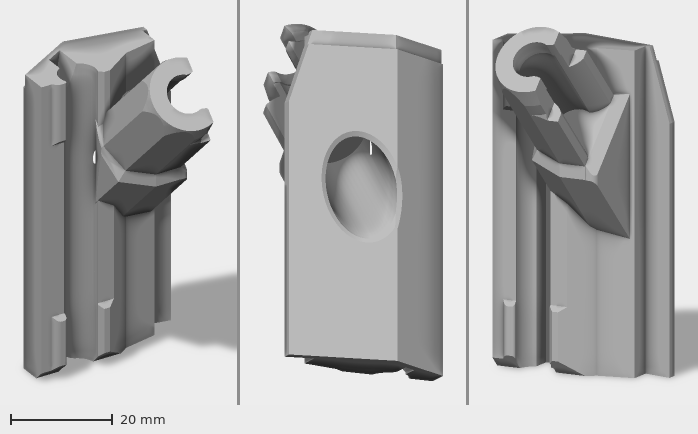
import cadquery as cq
import math

OVERALL_LENGTH, OVERALL_HEIGHT = 41.2, 74.05

BODY_HEIGHT = 66.05
PLATE_THICKNESS = 2.1
RIDGE_Y = -6.9
WING_TOP_Y, WING_TOP_X = 14.7, 4.1
WING_BOTTOM_Y, WING_BOTTOM_X = -20.3, 7.7
HEAD_STEP_HEIGHT = 3.0
HEAD_STEP_DEPTH = 0.7
WING_CORNER_WIDTH = 4.95
WING_CORNER_HEIGHT = 14.8
BOTTOM_CHAMFER = 3.0

RIB_TOP_Y = 8.8
RIB_TOP_X = 9.6
RIB_KNEE = (11.2, 1.25)
BACK_X = 14.5
LIP_X = 15.55
LIP_DEPTH = LIP_X - BACK_X
LIP_GAP_BOTTOM, LIP_GAP_TOP = 14.0, 52.3
UPPER_LIP_TOP_Y, UPPER_LIP_BOTTOM_Y = -5.1, -6.45
LOWER_LIP_TOP_Y, LOWER_LIP_BOTTOM_Y = -15.55, -16.3
LOWER_LIP_RADIUS = 1.5

CHANNEL_X, CHANNEL_Y, CHANNEL_RADIUS = 13.25, -11.2, 4.1
CHANNEL_MOUTH_HALF_WIDTH = 1.5
SLOT_HALF_WIDTH = 1.9
SLOT_TOP_Y = -10.65
SLOT_CORNER_RADIUS = 2.2
SLOT_LEAD_IN_HEIGHT = 5.9

BARREL_RADIUS = 8.45
BARREL_SIDE_Y = 5.7
END_RADIUS = 7.7
BARREL_END_X = OVERALL_LENGTH - END_RADIUS * math.sqrt(0.5)
BARREL_END_Z = OVERALL_HEIGHT - END_RADIUS * math.sqrt(0.5)
END_TAPER_LENGTH = 3.85
END_FLAT_Y = 3.3
END_CUT_LENGTH = 8.45
TURNED_RUNOUT_LENGTH = 1.3
TURNED_RUNOUT_STEP = 0.7
ENVELOPE_RADIUS = 22.2
ENVELOPE_LENGTH = 44.4
BOSS_RADIUS = 10.4
BOSS_SIDE_Y = 7.85
BOSS_DISTANCE = 24.4
BOSS_TAPER_LENGTH = BOSS_RADIUS - BARREL_RADIUS
BOSS_LENGTH = 33.3
BOSS_MIN_X, BOSS_MAX_X = 7.4, 29.6
BOSS_LOWER_Y = -8.8
BOSS_BULGE_MIDDLE = (16.7, -8.3)
BOSS_BULGE_END_X = 18.95
BOSS_BLOCK_X = 24.3
BOSS_BLOCK_RADIUS = 1.25

MOUTH_RADIUS, MOUTH_NECK_Y = 4.1, 1.7
MOUTH_LENGTH = 3.8
CRADLE_RADIUS, CRADLE_NECK_Y = 4.4, 2.1
CRADLE_FLOOR = 24.4
OPENING_WAIST_Y = 3.55
OPENING_HALF_WIDTH = 6.5
BORE_RADIUS = 7.2
FRONT_BORE_FLOOR = 27.7
FRONT_BORE_LENGTH = 33.3
FLARE_DEPTH = 0.6
FLARE_WIDTH = 0.95

BIG = 44.4


def barrel_plane(distance):
    """Plane across the barrel; local x is +Y and local y points up and forward."""
    back = distance * math.sqrt(0.5)
    origin = (BARREL_END_X - back, 0, BARREL_END_Z - back)
    return cq.Plane(origin=origin, xDir=(0, 1, 0), normal=(1, 0, 1))


def across_barrel(distance):
    return cq.Workplane(barrel_plane(distance))


def wing_inner_x(y):
    """X of the plate's inner face below the ridge."""
    slope = WING_BOTTOM_X / (RIDGE_Y - WING_BOTTOM_Y)
    return PLATE_THICKNESS + (RIDGE_Y - y) * slope


def wing_upper_x(y):
    """X of the plate's outer face above the ridge."""
    return WING_TOP_X * (y - RIDGE_Y) / (WING_TOP_Y - RIDGE_Y)


def body_prism():
    slot_low_y = CHANNEL_Y - SLOT_HALF_WIDTH
    slot_end_x = CHANNEL_X - math.sqrt(CHANNEL_RADIUS**2 - SLOT_HALF_WIDTH**2)
    mouth_x = CHANNEL_X + CHANNEL_MOUTH_HALF_WIDTH
    mouth_dy = math.sqrt(CHANNEL_RADIUS**2 - CHANNEL_MOUTH_HALF_WIDTH**2)
    slope_x = LIP_X - LOWER_LIP_RADIUS * (1 - math.sqrt(0.5))
    slope_y = LOWER_LIP_BOTTOM_Y - LOWER_LIP_RADIUS * math.sqrt(0.5)
    corner_y = SLOT_TOP_Y + SLOT_CORNER_RADIUS
    reach = CHANNEL_RADIUS + SLOT_CORNER_RADIUS
    corner_dx = math.sqrt(reach**2 - (corner_y - CHANNEL_Y)**2)
    corner_x = CHANNEL_X - corner_dx
    touch_x = CHANNEL_X - corner_dx * CHANNEL_RADIUS / reach
    touch_y = CHANNEL_Y + (corner_y - CHANNEL_Y) * CHANNEL_RADIUS / reach
    touch_angle = math.atan2(touch_y - corner_y, touch_x - corner_x)
    middle_angle = (touch_angle - math.pi / 2) / 2
    corner_middle = (
        corner_x + SLOT_CORNER_RADIUS * math.cos(middle_angle),
        corner_y + SLOT_CORNER_RADIUS * math.sin(middle_angle),
    )
    return (
        cq.Workplane("XY")
        .moveTo(0, RIDGE_Y)
        .lineTo(WING_BOTTOM_X, WING_BOTTOM_Y)
        .lineTo(BACK_X, WING_BOTTOM_Y)
        .lineTo(BACK_X, slope_y - (slope_x - BACK_X))
        .lineTo(slope_x, slope_y)
        .tangentArcPoint((LIP_X, LOWER_LIP_BOTTOM_Y), relative=False)
        .lineTo(LIP_X, LOWER_LIP_TOP_Y)
        .tangentArcPoint((mouth_x, CHANNEL_Y - mouth_dy), relative=False)
        .threePointArc((CHANNEL_X, CHANNEL_Y - CHANNEL_RADIUS), (slot_end_x, slot_low_y))
        .lineTo(wing_inner_x(slot_low_y), slot_low_y)
        .lineTo(wing_inner_x(SLOT_TOP_Y), SLOT_TOP_Y)
        .lineTo(corner_x, SLOT_TOP_Y)
        .threePointArc(corner_middle, (touch_x, touch_y))
        .threePointArc((CHANNEL_X, CHANNEL_Y + CHANNEL_RADIUS), (mouth_x, CHANNEL_Y + mouth_dy))
        .lineTo(LIP_X, UPPER_LIP_BOTTOM_Y)
        .lineTo(LIP_X, UPPER_LIP_TOP_Y)
        .lineTo(*RIB_KNEE)
        .lineTo(RIB_TOP_X, RIB_TOP_Y)
        .lineTo(wing_upper_x(RIB_TOP_Y) + PLATE_THICKNESS, RIB_TOP_Y)
        .lineTo(WING_TOP_X + PLATE_THICKNESS, WING_TOP_Y)
        .lineTo(WING_TOP_X, WING_TOP_Y)
        .close()
        .extrude(BODY_HEIGHT)
    )


def head_step():
    """Thin layer taken off the front of the top band."""
    front = [(WING_TOP_X, WING_TOP_Y), (0, RIDGE_Y), (WING_BOTTOM_X, WING_BOTTOM_Y)]
    set_back = [(x + HEAD_STEP_DEPTH, y) for x, y in reversed(front)]
    return (
        cq.Workplane("XY", origin=(0, 0, BODY_HEIGHT - HEAD_STEP_HEIGHT))
        .polyline(front + set_back)
        .close()
        .extrude(HEAD_STEP_HEIGHT)
    )


def wing_corner():
    return (
        cq.Workplane("YZ")
        .moveTo(WING_TOP_Y, BODY_HEIGHT)
        .lineTo(WING_TOP_Y - WING_CORNER_WIDTH, BODY_HEIGHT)
        .lineTo(WING_TOP_Y, BODY_HEIGHT - WING_CORNER_HEIGHT)
        .close()
        .extrude(BIG)
    )


def bottom_chamfer():
    return (
        cq.Workplane("XZ")
        .moveTo(LIP_X, 0)
        .lineTo(LIP_X - BOTTOM_CHAMFER, 0)
        .lineTo(LIP_X, BOTTOM_CHAMFER)
        .close()
        .extrude(BIG, both=True)
    )


def lip_gap():
    """Removes the lips along the middle of the body, with sloped ends."""
    return (
        cq.Workplane("XZ")
        .moveTo(BACK_X, LIP_GAP_BOTTOM)
        .lineTo(LIP_X, LIP_GAP_BOTTOM - LIP_DEPTH)
        .lineTo(LIP_X, LIP_GAP_TOP + LIP_DEPTH)
        .lineTo(BACK_X, LIP_GAP_TOP)
        .close()
        .extrude(BIG, both=True)
    )


def slot_lead_in():
    """Sloped entry at the top of the slot."""
    entry_y = CHANNEL_Y + SLOT_HALF_WIDTH
    wedge = (
        cq.Workplane("YZ")
        .moveTo(SLOT_TOP_Y, BODY_HEIGHT - SLOT_LEAD_IN_HEIGHT)
        .lineTo(entry_y, BODY_HEIGHT)
        .lineTo(SLOT_TOP_Y, BODY_HEIGHT)
        .close()
        .extrude(CHANNEL_X)
    )
    behind_plate = (
        cq.Workplane("XY")
        .moveTo(wing_inner_x(entry_y), entry_y)
        .lineTo(wing_inner_x(SLOT_TOP_Y), SLOT_TOP_Y)
        .lineTo(CHANNEL_X, SLOT_TOP_Y)
        .lineTo(CHANNEL_X, entry_y)
        .close()
        .extrude(BODY_HEIGHT)
    )
    return wedge.intersect(behind_plate)


def half_octagon(radius, low_y, side_y):
    """Corners of a section: half an octagon on -Y with its tip at low_y, square on +Y."""
    corner = radius * math.sqrt(0.5)
    octagon_side = [(0, radius), (-corner, corner), (low_y, 0), (-corner, -corner), (0, -radius)]
    return octagon_side + [(side_y, -radius), (side_y, radius)]


def boss_limits():
    """Upright prism that trims the boss."""
    block_round_x = BOSS_BLOCK_X - BOSS_BLOCK_RADIUS
    block_round_y = BOSS_SIDE_Y - BOSS_BLOCK_RADIUS
    mouth_y = CHANNEL_Y + CHANNEL_RADIUS
    return (
        cq.Workplane("XY")
        .moveTo(BOSS_MIN_X, mouth_y)
        .lineTo(CHANNEL_X, mouth_y)
        .threePointArc(BOSS_BULGE_MIDDLE, (BOSS_BULGE_END_X, BOSS_LOWER_Y))
        .lineTo(BOSS_MAX_X, BOSS_LOWER_Y)
        .lineTo(BOSS_MAX_X, BARREL_SIDE_Y)
        .lineTo(BOSS_BLOCK_X, BARREL_SIDE_Y)
        .lineTo(BOSS_BLOCK_X, block_round_y)
        .tangentArcPoint((block_round_x, BOSS_SIDE_Y), relative=False)
        .lineTo(BOSS_MIN_X, BOSS_SIDE_Y)
        .close()
        .extrude(BODY_HEIGHT)
    )


def boss():
    wide_distance = BOSS_DISTANCE + BOSS_TAPER_LENGTH
    wide = half_octagon(BOSS_RADIUS, BOSS_LOWER_Y, BOSS_SIDE_Y)
    narrow = half_octagon(BARREL_RADIUS, -BARREL_RADIUS, BARREL_SIDE_Y)
    shank = across_barrel(wide_distance).polyline(wide).close().extrude(-BOSS_LENGTH)
    taper = (
        across_barrel(wide_distance)
        .polyline(wide)
        .close()
        .workplane(offset=BOSS_TAPER_LENGTH)
        .polyline(narrow)
        .close()
        .loft(ruled=True)
    )
    return shank.union(taper).intersect(boss_limits())


def end_envelope(shoulder_points):
    """Solid of revolution with the tapered end; shoulder_points lead out to its full radius."""
    axis_plane = cq.Plane(
        origin=(BARREL_END_X, 0, BARREL_END_Z), xDir=(0, 1, 0), normal=(1, 0, -1)
    )
    outline = [(0, 0), (END_RADIUS, 0), (BARREL_RADIUS, -END_TAPER_LENGTH)]
    outline += shoulder_points
    outline += [
        (ENVELOPE_RADIUS, outline[-1][1]),
        (ENVELOPE_RADIUS, -ENVELOPE_LENGTH),
        (0, -ENVELOPE_LENGTH),
    ]
    return cq.Workplane(axis_plane).polyline(outline).close().revolve(360, (0, 0, 0), (0, 1, 0))


def half_space(side):
    """Large block on the +Y (side = 1) or -Y (side = -1) side of the barrel axis."""
    return cq.Workplane("XZ").rect(4 * BIG, 4 * BIG).extrude(-side * BIG)


def barrel():
    section = half_octagon(BARREL_RADIUS, -BARREL_RADIUS, BARREL_SIDE_Y)
    shaft = across_barrel(BOSS_DISTANCE).polyline(section).close().extrude(BOSS_DISTANCE)
    turned_shoulder = [
        (BARREL_RADIUS, TURNED_RUNOUT_LENGTH - END_CUT_LENGTH),
        (BARREL_RADIUS + TURNED_RUNOUT_STEP, -END_CUT_LENGTH),
    ]
    faceted_half = shaft.intersect(half_space(-1)).intersect(end_envelope([]))
    turned_half = shaft.intersect(half_space(1)).intersect(end_envelope(turned_shoulder))
    side_cut = (
        across_barrel(END_CUT_LENGTH)
        .center(END_FLAT_Y + BIG / 2, 0)
        .rect(BIG, BIG)
        .extrude(BIG)
    )
    return faceted_half.union(turned_half).cut(side_cut)


def cradle_section(distance, radius, neck_y):
    """Round-bottomed channel whose sides curve outward above the neck."""
    neck = math.sqrt(radius**2 - neck_y**2)
    return (
        across_barrel(distance)
        .moveTo(neck_y, neck)
        .threePointArc((-radius, 0), (neck_y, -neck))
        .threePointArc((OPENING_WAIST_Y, -radius), (BARREL_SIDE_Y, -OPENING_HALF_WIDTH))
        .lineTo(BOSS_SIDE_Y, -OPENING_HALF_WIDTH)
        .lineTo(BOSS_SIDE_Y, OPENING_HALF_WIDTH)
        .lineTo(BARREL_SIDE_Y, OPENING_HALF_WIDTH)
        .threePointArc((OPENING_WAIST_Y, radius), (neck_y, neck))
        .close()
    )


def cradle():
    mouth = cradle_section(MOUTH_LENGTH, MOUTH_RADIUS, MOUTH_NECK_Y).extrude(MOUTH_LENGTH)
    inner_length = CRADLE_FLOOR - MOUTH_LENGTH
    inner = cradle_section(CRADLE_FLOOR, CRADLE_RADIUS, CRADLE_NECK_Y).extrude(inner_length)
    return mouth.union(inner)


def front_bore():
    return across_barrel(FRONT_BORE_FLOOR).circle(BORE_RADIUS).extrude(-FRONT_BORE_LENGTH)


def bore_flare(edge_x, edge_y):
    """Bevel around the oval opening in the front face between the ridge and the given edge."""
    run, rise = abs(edge_y - RIDGE_Y), math.copysign(edge_x, edge_y - RIDGE_Y)
    normal = cq.Vector(-run, rise, 0).normalized()
    axis = cq.Vector(1, 0, 1).normalized()
    tilt_cosine = abs(normal.dot(axis))
    long_way = axis - normal * axis.dot(normal)
    face_x = edge_x * RIDGE_Y / (RIDGE_Y - edge_y)
    centre_x = face_x + FLARE_DEPTH / abs(normal.x)
    centre = (centre_x, 0, centre_x + BARREL_END_Z - BARREL_END_X)
    taper = math.degrees(math.atan2(FLARE_WIDTH, FLARE_DEPTH))
    return (
        cq.Workplane(cq.Plane(origin=centre, xDir=long_way, normal=normal))
        .ellipse(BORE_RADIUS / tilt_cosine, BORE_RADIUS)
        .extrude(2 * FLARE_DEPTH, taper=-taper)
    )


body = body_prism().cut(front_bore())
body = body.cut(bore_flare(WING_TOP_X, WING_TOP_Y)).cut(bore_flare(WING_BOTTOM_X, WING_BOTTOM_Y))
for cutter in (head_step(), wing_corner(), bottom_chamfer(), lip_gap(), slot_lead_in()):
    body = body.cut(cutter)

stem = boss().union(barrel()).cut(front_bore()).cut(cradle())
result = body.union(stem)